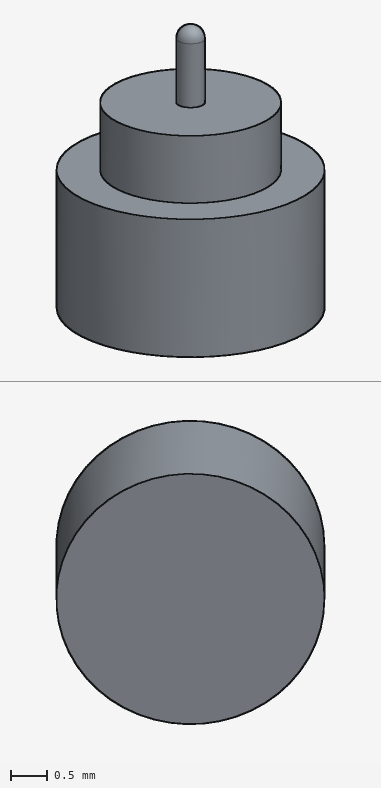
import cadquery as cq

total_height = 4.2

body_diameter = 3.7
body_height = 2.05
collar_diameter = 2.5
collar_height = 1.0

pin_diameter = 0.4
pin_radius = pin_diameter / 2
pin_length = total_height - body_height - collar_height


def make_body():
    """Wide base cylinder with a narrower collar on top."""
    base = cq.Workplane("XY").circle(body_diameter / 2).extrude(body_height)
    return base.faces(">Z").workplane().circle(collar_diameter / 2).extrude(collar_height)


def make_pin():
    """Slim pin standing on the collar, rounded to a full dome at its tip."""
    shank_length = pin_length - pin_radius
    shank_base = body_height + collar_height
    shank = cq.Workplane("XY").workplane(offset=shank_base).circle(pin_radius).extrude(shank_length)
    tip = cq.Workplane("XY").sphere(pin_radius).translate((0, 0, shank_base + shank_length))
    return shank.union(tip)


result = make_body().union(make_pin())